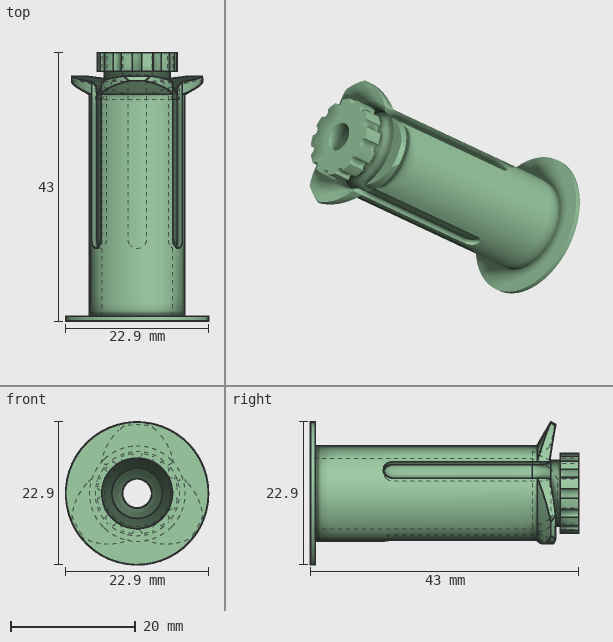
import cadquery as cq
import math

TOTAL_LENGTH = 43.0
FLANGE_RADIUS = 11.45
FLANGE_THICKNESS = 0.8
SLEEVE_RADIUS = 7.65
SLEEVE_END = 38.3
MOUTH_LENGTH = 1.5

CORE_RADIUS = 6.75
TAPER_START = 35.5
TAPER_END = 38.45
NECK_RADIUS = 5.3

KNOB_RADIUS = 6.45
KNOB_THICKNESS = 3.0
KNOB_START = TOTAL_LENGTH - KNOB_THICKNESS
FLUTE_COUNT = 12
FLUTE_RADIUS = 0.75

WING_COUNT = 3
WING_PITCH = 360.0 / WING_COUNT
SLOT_WIDTH = 3.0
SLOT_START = 11.7

WING_ROOT_Y = 36.3
WING_TIP_Y = 38.5
WING_BACK_RADIUS = 11.05
WING_BACK_Y = 39.25
WING_TIP_HALF_WIDTH = 1.3
WING_SIDE_BOW = 0.88

BORE_RADIUS = 5.65
STEP_RADIUS = 4.03
HOLE_RADIUS = 2.33
HOLE_START = 39.5


def axial_cylinder(radius, start, end):
    """Cylinder about the Y axis from Y = start to Y = end."""
    return cq.Workplane("XZ", origin=(0, start, 0)).circle(radius).extrude(start - end)


def revolve_profile(profile):
    """Revolve an XY profile (X is the radius) about the Y axis."""
    return profile.close().revolve(360, (0, 0, 0), (0, 1, 0))


def turn(body, angle):
    return body.rotate((0, 0, 0), (0, 1, 0), angle)


def make_sleeve():
    """Flanged tube whose wall rounds off from the inside to its outer edge."""
    wall = SLEEVE_RADIUS - CORE_RADIUS
    mouth_radius = (MOUTH_LENGTH**2 + wall**2) / (2 * wall)
    half_sweep = math.asin(MOUTH_LENGTH / mouth_radius) / 2
    mouth_start = SLEEVE_END - MOUTH_LENGTH
    mouth_middle = (
        CORE_RADIUS + mouth_radius * (1 - math.cos(half_sweep)),
        mouth_start + mouth_radius * math.sin(half_sweep),
    )
    return revolve_profile(
        cq.Workplane("XY")
        .moveTo(CORE_RADIUS, 0)
        .lineTo(FLANGE_RADIUS, 0)
        .lineTo(FLANGE_RADIUS, FLANGE_THICKNESS)
        .lineTo(SLEEVE_RADIUS, FLANGE_THICKNESS)
        .lineTo(SLEEVE_RADIUS, SLEEVE_END)
        .threePointArc(mouth_middle, (CORE_RADIUS, mouth_start))
    )


def wing_outline():
    """Axial outline of the +Z wing, closed on the axis and extruded along Y."""
    half_slot_angle = math.asin(SLOT_WIDTH / 2 / SLEEVE_RADIUS)
    root_angle = math.radians(WING_PITCH / 2) - half_slot_angle
    root_x = SLEEVE_RADIUS * math.sin(root_angle)
    root_z = SLEEVE_RADIUS * math.cos(root_angle)
    tip_z = math.sqrt(FLANGE_RADIUS**2 - WING_TIP_HALF_WIDTH**2)
    run = root_x - WING_TIP_HALF_WIDTH
    drop = tip_z - root_z
    chord = math.hypot(run, drop)
    bow_x = (root_x + WING_TIP_HALF_WIDTH) / 2 + WING_SIDE_BOW * drop / chord
    bow_z = (root_z + tip_z) / 2 + WING_SIDE_BOW * run / chord
    return (
        cq.Workplane("XZ")
        .moveTo(0, 0)
        .lineTo(root_x, root_z)
        .threePointArc((bow_x, bow_z), (WING_TIP_HALF_WIDTH, tip_z))
        .threePointArc((0, FLANGE_RADIUS), (-WING_TIP_HALF_WIDTH, tip_z))
        .threePointArc((-bow_x, bow_z), (-root_x, root_z))
        .close()
        .extrude(-TOTAL_LENGTH)
    )


def make_wing():
    ring = revolve_profile(
        cq.Workplane("XY")
        .moveTo(SLEEVE_RADIUS, WING_ROOT_Y)
        .lineTo(FLANGE_RADIUS, WING_TIP_Y)
        .lineTo(WING_BACK_RADIUS, WING_BACK_Y)
        .lineTo(SLEEVE_RADIUS, SLEEVE_END)
    )
    return ring.intersect(wing_outline())


def make_slot():
    """Slot cutter on the -Z side, rounded at its flange end."""
    round_centre = SLOT_START + SLOT_WIDTH / 2
    length = SLEEVE_END - round_centre
    box = (
        cq.Workplane("XY")
        .center(0, round_centre + length / 2)
        .rect(SLOT_WIDTH, length)
        .extrude(-FLANGE_RADIUS)
    )
    end = cq.Workplane("XY").center(0, round_centre).circle(SLOT_WIDTH / 2).extrude(-FLANGE_RADIUS)
    return box.union(end)


def make_core():
    return revolve_profile(
        cq.Workplane("XY")
        .moveTo(0, 0)
        .lineTo(CORE_RADIUS, 0)
        .lineTo(CORE_RADIUS, TAPER_START)
        .lineTo(NECK_RADIUS, TAPER_END)
        .lineTo(NECK_RADIUS, TOTAL_LENGTH)
        .lineTo(0, TOTAL_LENGTH)
    )


def make_knob():
    flutes = (
        cq.Workplane("XZ", origin=(0, KNOB_START, 0))
        .polarArray(KNOB_RADIUS, 0, 360, FLUTE_COUNT)
        .circle(FLUTE_RADIUS)
        .extrude(-KNOB_THICKNESS)
    )
    return axial_cylinder(KNOB_RADIUS, KNOB_START, TOTAL_LENGTH).cut(flutes)


def make_bore():
    return revolve_profile(
        cq.Workplane("XY")
        .moveTo(0, 0)
        .lineTo(BORE_RADIUS, 0)
        .lineTo(BORE_RADIUS, TAPER_START)
        .lineTo(STEP_RADIUS, TAPER_END)
        .lineTo(HOLE_RADIUS, HOLE_START)
        .lineTo(HOLE_RADIUS, TOTAL_LENGTH)
        .lineTo(0, TOTAL_LENGTH)
    )


body = make_sleeve()
for index in range(WING_COUNT):
    body = body.union(turn(make_wing(), index * WING_PITCH))
for index in range(WING_COUNT):
    body = body.cut(turn(make_slot(), index * WING_PITCH))

result = body.union(make_core()).union(make_knob()).cut(make_bore())